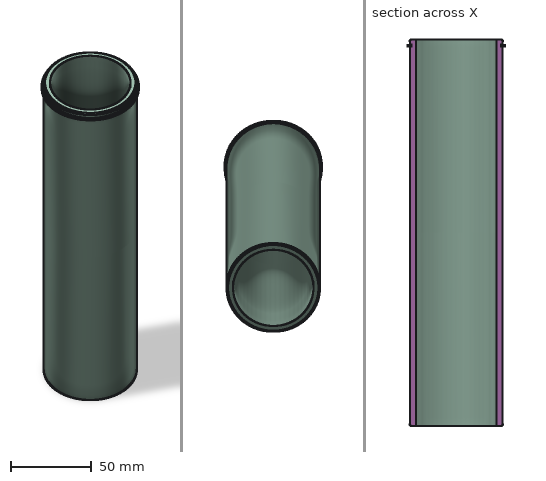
import cadquery as cq

LENGTH = 240.0
TUBE_DIAMETER = 58.0
BORE_DIAMETER = 50.0
END_CHAMFER = 1.0

RING_DIAMETER = 60.5
RING_THICKNESS = 1.0
RING_TOP_DEPTH = 3.4
GROOVE_DEPTH = 1.0

groove_diameter = TUBE_DIAMETER - 2 * GROOVE_DEPTH
ring_bottom = LENGTH / 2 - RING_TOP_DEPTH - RING_THICKNESS


def annulus(outer_diameter, inner_diameter, bottom, height):
    """A plain ring around the Z axis, standing on the given height."""
    return (
        cq.Workplane("XY", origin=(0, 0, bottom))
        .circle(outer_diameter / 2)
        .circle(inner_diameter / 2)
        .extrude(height)
    )


def make_tube():
    """Tube with chamfered outer end edges and a groove for the ring."""
    bore = cq.Workplane("XY").circle(BORE_DIAMETER / 2).extrude(LENGTH / 2, both=True)
    rod = cq.Workplane("XY").circle(TUBE_DIAMETER / 2).extrude(LENGTH / 2, both=True)
    rod = rod.faces("<Z or >Z").chamfer(END_CHAMFER)
    groove = annulus(RING_DIAMETER, groove_diameter, ring_bottom, RING_THICKNESS)
    return rod.cut(bore).cut(groove)


def make_ring():
    """Retaining ring that fills the groove and stands proud of the tube."""
    return annulus(RING_DIAMETER, groove_diameter, ring_bottom, RING_THICKNESS)


tube = make_tube()
retaining_ring = make_ring()

result = cq.Compound.makeCompound([tube.val(), retaining_ring.val()])